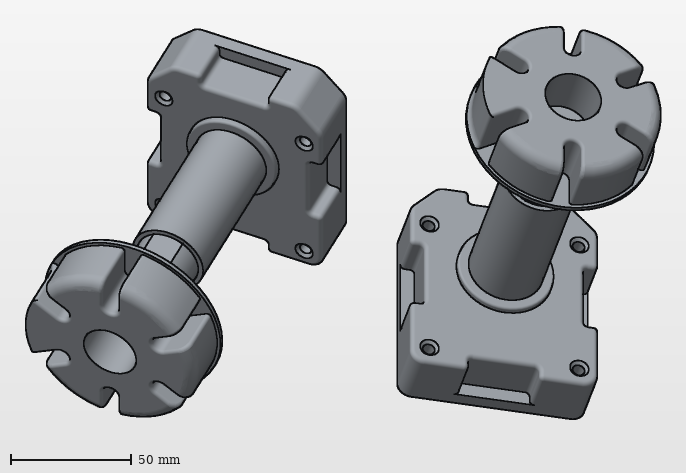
import cadquery as cq
import math

overall_length = 150.5

plate_width = 80.0
plate_height = 92.0
plate_thickness = 25.0
plate_chamfer = 12.0
corner_radius = 6.0
edge_radius = 2.0
plate_top = plate_width / 2
plate_center_z = plate_top - plate_height / 2

pocket_width = 30.3
pocket_depth = 6.0
pocket_back_wall = 6.0

hole_spacing = 64.0
hole_center_z = -12.0
hole_diameter = 5.1
countersink_diameter = 8.0
countersink_angle = 90.0

collar_diameter = 41.1
collar_thickness = 2.9
collar_round = 1.01
tube_diameter = 32.0
tube_end = 91.8

shaft_diameter = 27.7
shaft_across_flats = 24.2
cross_length = 10.8
cross_width = 2.0

knob_length = 25.0
knob_back = overall_length - knob_length
flange_diameter = plate_width
flange_thickness = 2.0
lobe_base = knob_back + flange_thickness
lobe_height = overall_length - lobe_base
lobe_radius = 38.5
lobe_round = 5.1
bore_diameter = 24.0

slot_count = 6
slot_width = 7.2
slot_end_center = 25.9
slot_round = 1.5
slot_first_angle = 30.0


def at_depth(depth):
    """Sketch plane facing -Y, with local x along X and local y along Z."""
    return cq.Workplane("XZ", origin=(0, -depth, 0))


def double_flat_bar(start, length):
    flats = at_depth(start).rect(shaft_diameter, shaft_across_flats).extrude(length)
    return at_depth(start).circle(shaft_diameter / 2).extrude(length).intersect(flats)


def cross_passage(start, length):
    across = at_depth(start).rect(cross_length, cross_width).extrude(length)
    upright = at_depth(start).rect(cross_width, cross_length).extrude(length)
    return across.union(upright)


def plate_block(start, thickness):
    """Slab with two large top chamfers and all outline corners rounded."""
    slab = (
        at_depth(start)
        .center(0, plate_center_z)
        .rect(plate_width, plate_height)
        .extrude(thickness)
    )
    slab = slab.edges("|Y and >Z").chamfer(plate_chamfer)
    return slab.edges("|Y").fillet(corner_radius)


def add_pockets(slab, start, thickness):
    """Notch the middle of each side and round the notch's corners."""
    half_width = plate_width / 2
    half_height = plate_height / 2
    notches = (
        at_depth(start)
        .center(0, plate_center_z)
        .pushPoints([(0, half_height), (0, -half_height)])
        .rect(pocket_width, 2 * pocket_depth)
        .extrude(thickness)
    )
    notches = notches.union(
        at_depth(start)
        .center(0, plate_center_z)
        .pushPoints([(half_width, 0), (-half_width, 0)])
        .rect(2 * pocket_depth, pocket_width)
        .extrude(thickness)
    )

    slab = slab.cut(notches)
    half_pocket = pocket_width / 2
    middle = -(start + thickness / 2)
    for inset in (0, pocket_depth):
        for side in (-1, 1):
            for end in (-1, 1):
                on_top = (side * half_pocket, middle, plate_center_z + end * (half_height - inset))
                on_side = (end * (half_width - inset), middle, plate_center_z + side * half_pocket)
                for corner in (on_top, on_side):
                    slab = slab.edges(cq.NearestToPointSelector(corner)).fillet(edge_radius)
    return slab


def make_plate():
    front_thickness = plate_thickness - pocket_back_wall
    front = plate_block(pocket_back_wall, front_thickness)
    front = add_pockets(front, pocket_back_wall, front_thickness)
    front = front.faces("<Y").edges().fillet(edge_radius)
    plate = plate_block(0, pocket_back_wall).union(front)

    plate = (
        plate.copyWorkplane(at_depth(plate_thickness))
        .center(0, hole_center_z)
        .rect(hole_spacing, hole_spacing, forConstruction=True)
        .vertices()
        .cskHole(hole_diameter, countersink_diameter, countersink_angle)
    )
    return plate.cut(cross_passage(0, plate_thickness))


def make_tube():
    """Collared tube with a round bore in which the double-flat shaft slides."""
    collar = at_depth(plate_thickness).circle(collar_diameter / 2).extrude(collar_thickness)
    collar = collar.faces("<Y").edges().fillet(collar_round)
    length = tube_end - plate_thickness
    tube = at_depth(plate_thickness).circle(tube_diameter / 2).extrude(length)
    bore = at_depth(plate_thickness).circle(shaft_diameter / 2).extrude(length)
    return collar.union(tube).cut(bore)


def make_flare():
    """Ring with a concave arc from the lobe wall out to the flange rim."""
    rim_radius = flange_diameter / 2
    overhang = rim_radius - lobe_radius
    flare_height = math.sqrt(lobe_round**2 - (lobe_round - overhang) ** 2)
    root_radius = lobe_radius - lobe_round
    flare_top = -(lobe_base + flare_height)
    return (
        cq.Workplane("XY")
        .moveTo(root_radius, -lobe_base)
        .lineTo(rim_radius, -lobe_base)
        .radiusArc((lobe_radius, flare_top), -lobe_round)
        .lineTo(root_radius, flare_top)
        .close()
        .revolve(360, (0, 0, 0), (0, 1, 0))
    )


def make_drum():
    """Lobe blank: rounded at its front rim, except for the -X lobe, which is flared at its base."""
    plain = at_depth(lobe_base).circle(lobe_radius).extrude(lobe_height)
    rounded = plain.faces("<Y").edges().fillet(lobe_round)
    reach = flange_diameter
    half_spread = reach * math.tan(math.pi / slot_count)
    sector = (
        at_depth(lobe_base)
        .polyline([(0, 0), (-reach, half_spread), (-reach, -half_spread)])
        .close()
        .extrude(lobe_height)
    )
    flared = plain.union(make_flare()).intersect(sector)
    return rounded.cut(sector).union(flared)


def make_slot(angle):
    slot = at_depth(lobe_base).center(slot_end_center, 0).circle(slot_width / 2).extrude(lobe_height)
    channel_center = slot_end_center + lobe_radius / 2
    channel = at_depth(lobe_base).center(channel_center, 0).rect(lobe_radius, slot_width).extrude(lobe_height)
    return slot.union(channel).rotate((0, 0, 0), (0, -1, 0), angle)


def is_slot_rim(edge, angle):
    """True for an edge where the slot wall meets the lobes' outer or front surface."""
    middle = edge.positionAt(0.5)
    turn = math.radians(angle)
    along = middle.x * math.cos(turn) + middle.z * math.sin(turn)
    across = middle.z * math.cos(turn) - middle.x * math.sin(turn)
    tolerance = 0.02
    in_slot = abs(across) < slot_width / 2 + tolerance and along > slot_end_center - slot_width
    off_base = -middle.y > lobe_base + tolerance
    wall_seam = abs(along - slot_end_center) < tolerance and edge.tangentAt(0.5).y**2 > 1.5 - tolerance
    return in_slot and off_base and not wall_seam


def make_knob():
    """Slotted hand knob with its flange and double-flat shaft."""
    slot_angles = [slot_first_angle + i * 360 / slot_count for i in range(slot_count)]
    lobes = make_drum()
    for angle in slot_angles:
        lobes = lobes.cut(make_slot(angle))
    for angle in slot_angles:
        rims = [edge for edge in lobes.edges().vals() if is_slot_rim(edge, angle)]
        lobes = lobes.newObject(rims).fillet(slot_round)

    flange = at_depth(knob_back).circle(flange_diameter / 2).extrude(flange_thickness)
    shaft_length = knob_back - plate_thickness
    shaft = double_flat_bar(plate_thickness, shaft_length)
    bore = at_depth(lobe_base).circle(bore_diameter / 2).extrude(lobe_height)
    knob = flange.union(lobes).union(shaft).cut(bore)
    return knob.cut(cross_passage(plate_thickness, lobe_base - plate_thickness))


plate = make_plate()
tube = make_tube()
knob = make_knob()

result = cq.Compound.makeCompound([plate.val(), tube.val(), knob.val()])